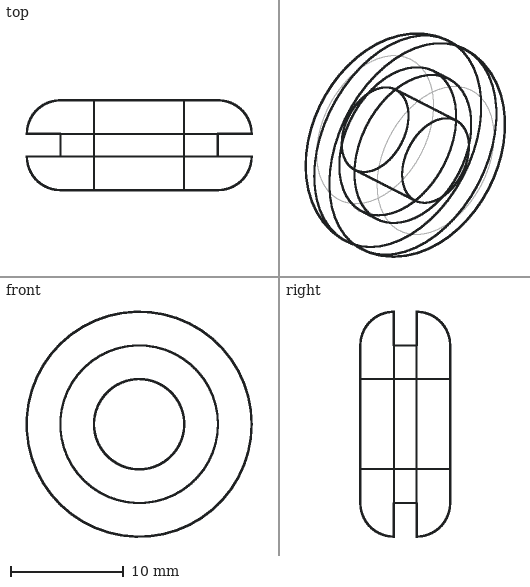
import cadquery as cq
import math

outer_diameter = 20.0
neck_diameter = 14.0
bore_diameter = 8.0
flange_thickness = 3.0
groove_width = 2.0

outer_radius = outer_diameter / 2
neck_radius = neck_diameter / 2
bore_radius = bore_diameter / 2
half_groove = groove_width / 2
half_width = half_groove + flange_thickness

round_radius = flange_thickness
face_radius = outer_radius - round_radius
arc_mid_radius = face_radius + round_radius * math.cos(math.pi / 4)
arc_mid_y = half_groove + round_radius * math.sin(math.pi / 4)


def grommet_body():
    """Revolve the half section (X = radius, Y = axis) about the Y axis."""
    section = (
        cq.Workplane("XY")
        .moveTo(bore_radius, -half_width)
        .lineTo(face_radius, -half_width)
        .threePointArc((arc_mid_radius, -arc_mid_y), (outer_radius, -half_groove))
        .lineTo(neck_radius, -half_groove)
        .lineTo(neck_radius, half_groove)
        .lineTo(outer_radius, half_groove)
        .threePointArc((arc_mid_radius, arc_mid_y), (face_radius, half_width))
        .lineTo(bore_radius, half_width)
        .close()
    )
    return section.revolve(360, (0, 0, 0), (0, 1, 0))


result = grommet_body()